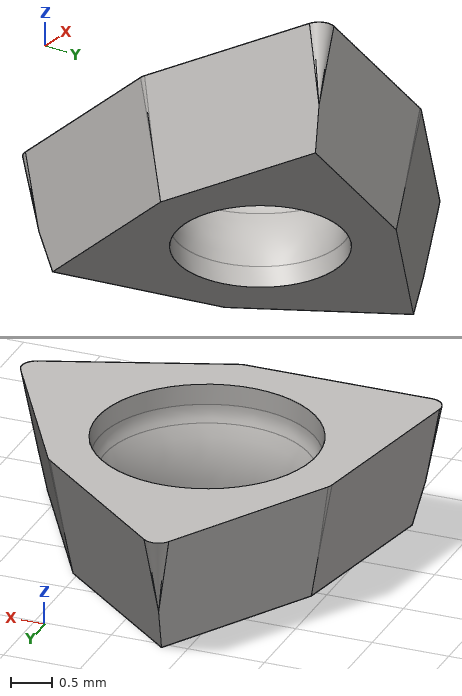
import cadquery as cq
import math

thickness = 1.59
inscribed_diameter = 3.97
relief_angle = 11.0
corner_radius = 0.2
corner_count = 3
cutting_corner_angle = 80.0
first_cutting_direction = 100.0

bore_radius = 2.2 / 2
mouth_depth = 0.26
mouth_draft = 5.0
blend_radius = 0.5
seat_radius = 1.6
seat_angle = 31.4

corner_pitch = 360.0 / corner_count
cutting_half_turn = (180.0 - cutting_corner_angle) / 2
blunt_half_turn = corner_pitch / 2 - cutting_half_turn

inscribed_radius = inscribed_diameter / 2
rounding_depth = corner_radius / math.tan(math.radians(relief_angle))


def polar(radius, angle):
    return (radius * math.cos(math.radians(angle)), radius * math.sin(math.radians(angle)))


def trigon_corners():
    """List each corner as its direction and the half turn to its neighbouring side normals."""
    corners = []
    for index in range(corner_count):
        direction = first_cutting_direction + index * corner_pitch
        corners.append((direction, cutting_half_turn))
        corners.append((direction + corner_pitch / 2, blunt_half_turn))
    return corners


def corner_distance(inradius, half_turn):
    return inradius / math.cos(math.radians(half_turn))


def sharp_body():
    """Trigon prism with sharp corners, narrowing downward by the relief angle."""
    outline = [
        polar(corner_distance(inscribed_radius, half_turn), direction)
        for direction, half_turn in trigon_corners()
    ]
    return cq.Workplane("XY").polyline(outline).close().extrude(-thickness, taper=relief_angle)


def corner_waste(direction, half_turn):
    """Material outside the conical rounding of one corner."""
    base_direction = 90.0
    wedge_reach = 2 * corner_radius
    wedge_tip = corner_distance(wedge_reach, half_turn)
    center_distance = corner_distance(inscribed_radius - corner_radius, half_turn)
    wedge = (
        cq.Workplane("XY")
        .lineTo(*polar(wedge_reach, base_direction - half_turn))
        .lineTo(*polar(wedge_tip, base_direction))
        .lineTo(*polar(wedge_reach, base_direction + half_turn))
        .close()
        .extrude(-rounding_depth)
    )
    rounding = cq.Solid.makeCone(
        corner_radius, 0, rounding_depth, pnt=cq.Vector(0, 0, 0), dir=cq.Vector(0, 0, -1)
    )
    waste = wedge.cut(cq.Workplane(obj=rounding)).translate((0, center_distance, 0))
    return waste.rotate((0, 0, 0), (0, 0, 1), direction - base_direction)


def arc_point(center, radius, angle):
    """Point on a profile arc, with the angle measured from horizontal."""
    offset_r, offset_z = polar(radius, angle)
    return (center[0] + offset_r, center[1] + offset_z)


def screw_hole():
    """Revolved screw hole whose convex seat runs tangent into the blend and the bore."""
    blend_rise = math.sin(math.radians(seat_angle)) - math.sin(math.radians(mouth_draft))
    seat_top_depth = mouth_depth + blend_radius * blend_rise
    bore_depth = seat_top_depth + seat_radius * math.sin(math.radians(seat_angle))

    seat_center = (bore_radius + seat_radius, -bore_depth)
    seat_bottom = (bore_radius, -bore_depth)
    seat_middle = arc_point(seat_center, seat_radius, 180 - seat_angle / 2)
    seat_top = arc_point(seat_center, seat_radius, 180 - seat_angle)

    blend_center = arc_point(seat_top, blend_radius, 180 - seat_angle)
    blend_middle = arc_point(blend_center, blend_radius, -(seat_angle + mouth_draft) / 2)
    blend_top = arc_point(blend_center, blend_radius, -mouth_draft)
    mouth_radius = blend_top[0] + mouth_depth * math.tan(math.radians(mouth_draft))

    return (
        cq.Workplane("XZ")
        .moveTo(0, -thickness)
        .lineTo(bore_radius, -thickness)
        .lineTo(*seat_bottom)
        .threePointArc(seat_middle, seat_top)
        .threePointArc(blend_middle, blend_top)
        .lineTo(mouth_radius, 0)
        .lineTo(0, 0)
        .close()
        .revolve(360, (0, 0, 0), (0, 1, 0))
    )


body = sharp_body()
for corner_direction, corner_half_turn in trigon_corners():
    body = body.cut(corner_waste(corner_direction, corner_half_turn))

result = body.cut(screw_hole())